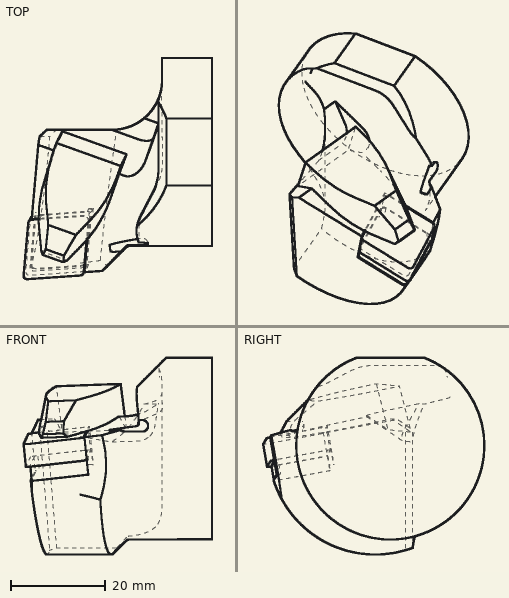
import cadquery as cq
import math

LARGE = 70.55

disc_radius = 20.0
disc_length = 17.95
flat_height = 18.65
flat_length = 9.7
bevel_reach = 8.45
wall_distance = 10.65

head_radius = 22.65
head_center_y = -3.2
head_center_z = -0.5
side_wall_y = 4.75
side_wall_radius = 10.5
corner_chamfer = 1.95
head_front_x = -36.75
head_lean = 0.082
neck_radius = 0.7
neck_overlap = 1.4

nose = (-40.1, -27.1, 0.2)
insert_width = 12.7
insert_angle = 80.0
insert_turn = 4.0
insert_thickness = 4.95
insert_corner = 0.8
insert_overhang = 0.65
shim_thickness = 3.2
shim_setback = 0.85
pocket_clearance = 0.2
insert_side = insert_width / math.sin(math.radians(insert_angle))

seat_slope_x = 0.1
seat_slope_y = 0.175
seat = cq.Plane(origin=nose, xDir=(1, 0, seat_slope_x), normal=(-seat_slope_x, -seat_slope_y, 1))

recess_back = 30.3
recess_side = 24.93
recess_bend_top = 22.95
recess_bend_bottom = 12.95
recess_blend = 10.8
floor_radius = 0.7
runout_radius = 1.245
runout_start = cq.Vector(-21.65, -20.6, 4.2)
runout_end = cq.Vector(-14.8, -19.55, 3.95)

clamp_turn = -20.0
groove_start = (3.75, 29.0, 0)
groove_depth = 6.75
groove_width = 7.1
groove_far_edge = 13.15
groove_end = 22.57
groove_end_radius = 3.2
groove_lead = 9.4
clamp_height = 6.5
clamp_center = 10.95
clamp_width = 14.55
tail_top = 3.0
tail_bottom = 3.8
tail_drop = 4.45
nose_top = -14.3
nose_step = (-20.1, 3.15)
nose_tip = (-21.9, 0.85)
nose_foot = -21.45
facet_slope = 2.2
facet_start = -11.85
facet_draft = 23.0
facet_blend = 14.1

clamp_plane = cq.Plane(seat.toWorldCoords(groove_start), seat.xDir, seat.zDir).rotated((0, 0, clamp_turn))
clamp_side = cq.Plane(clamp_plane.origin, clamp_plane.yDir, clamp_plane.xDir)


def rhombus(inset, length):
    """Corners of the insert shape, its two exposed sides moved inwards by inset."""
    lower = math.radians(insert_turn)
    upper = math.radians(insert_turn + insert_angle)
    along = (math.cos(lower), math.sin(lower))
    across = (math.cos(upper), math.sin(upper))
    step = inset / math.sin(math.radians(insert_angle))

    def corner(a, b):
        return (a * along[0] + b * across[0], a * along[1] + b * across[1])

    return [corner(step, step), corner(length, step), corner(length, length), corner(step, length)]


def on_seat(offset=0.0):
    return cq.Workplane(seat).workplane(offset=offset)


def make_insert():
    body = on_seat().polyline(rhombus(0, insert_side)).close().extrude(-insert_thickness)
    edges = body.edges(cq.selectors.ParallelDirSelector(seat.zDir))
    return edges.fillet(insert_corner)


def make_shim():
    shim_side = insert_side + pocket_clearance
    body = (
        on_seat(-insert_thickness)
        .polyline(rhombus(shim_setback, shim_side))
        .close()
        .extrude(-shim_thickness)
    )
    return body.edges(cq.selectors.ParallelDirSelector(seat.zDir)).fillet(insert_corner)


def make_blank():
    """Disc plus eccentric head; a cone on the disc axis bevels the head's rear."""
    disc = cq.Workplane("YZ").circle(disc_radius + neck_radius).extrude(-disc_length)
    head = (
        cq.Workplane("YZ", origin=(neck_overlap - disc_length, 0, 0))
        .center(head_center_y, head_center_z)
        .circle(head_radius)
        .extrude(-LARGE)
    )
    flanks = on_seat(LARGE).polyline(rhombus(insert_overhang, 2 * LARGE)).close().extrude(-2 * LARGE)
    nose_edge = cq.selectors.NearestToPointSelector(nose)
    flanks = flanks.edges(nose_edge).fillet(insert_corner)
    turned = (
        cq.Workplane("XY")
        .polyline([
            (0, 0),
            (0, disc_radius),
            (-disc_length, disc_radius),
            (-disc_length - LARGE, disc_radius + LARGE),
            (-disc_length - LARGE, 0),
        ])
        .close()
        .revolve(360, (0, 0, 0), (1, 0, 0))
    )
    neck = cq.selectors.BoxSelector(
        (-disc_length - neck_radius, -LARGE, -LARGE),
        (-disc_length + neck_radius, LARGE, LARGE),
    )
    turned = turned.edges(neck).fillet(neck_radius)
    return disc.union(head.intersect(flanks)).intersect(turned)


def disc_bevel():
    """Flat on top of the disc and the 45 degree bevel in front of it."""
    return (
        cq.Workplane("XZ")
        .polyline([
            (0, flat_height),
            (-flat_length, flat_height),
            (-flat_length - bevel_reach, flat_height - bevel_reach),
            (-flat_length - bevel_reach, LARGE),
            (0, LARGE),
        ])
        .close()
        .extrude(LARGE, both=True)
    )


def side_clearance():
    """Space beside the head, with the concave sweep into the disc front."""
    r = side_wall_radius
    center = (-wall_distance - r, side_wall_y + r)
    diagonal = r * math.sqrt(0.5)
    return (
        cq.Workplane("XY")
        .moveTo(-LARGE, side_wall_y)
        .lineTo(center[0], side_wall_y)
        .threePointArc((center[0] + diagonal, center[1] - diagonal), (-wall_distance, center[1]))
        .lineTo(-wall_distance, LARGE)
        .lineTo(-LARGE, LARGE)
        .close()
        .extrude(LARGE, both=True)
    )


def corner_cut():
    """45 degree chamfer on the upright corner of the head front and side wall."""
    leaning = cq.Plane(
        origin=(head_front_x, side_wall_y - corner_chamfer, 0),
        xDir=(1, 0, head_lean),
        normal=(-head_lean, 0, 1),
    )
    return (
        cq.Workplane(leaning)
        .polyline([(-LARGE, -LARGE), (LARGE, LARGE), (-LARGE, LARGE)])
        .close()
        .extrude(LARGE, both=True)
    )


def seat_recess():
    """Everything above the seat plane in front of the bent disc wall."""
    body = (
        on_seat()
        .polyline([
            (-LARGE, -LARGE),
            (recess_side, -LARGE),
            (recess_side, recess_bend_bottom),
            (recess_back, recess_bend_top),
            (recess_back, LARGE),
            (-LARGE, LARGE),
        ])
        .close()
        .extrude(LARGE)
    )
    for bend in [(recess_side, recess_bend_bottom), (recess_back, recess_bend_top)]:
        middle = seat.toWorldCoords((bend[0], bend[1], LARGE / 2))
        body = body.edges(cq.selectors.NearestToPointSelector(middle)).fillet(recess_blend)
    floor_edge = seat.toWorldCoords((recess_back, recess_bend_top + LARGE / 2, 0))
    return body.edges(cq.selectors.NearestToPointSelector(floor_edge)).fillet(floor_radius)


def cutter_runout():
    """Round-ended groove where the recess floor meets the disc surface."""
    path = runout_end - runout_start
    axis_plane = cq.Plane(runout_start, path, (0, 0, 1))
    diagonal = runout_radius * math.sqrt(0.5)
    return (
        cq.Workplane(axis_plane)
        .lineTo(0, runout_radius)
        .lineTo(path.Length, runout_radius)
        .threePointArc((path.Length + diagonal, diagonal), (path.Length + runout_radius, 0))
        .close()
        .revolve(360, (0, 0, 0), (1, 0, 0))
    )


def clamp_groove():
    """V groove for the clamp tail, rounded where its ramp ends."""
    body = (
        cq.Workplane(clamp_side)
        .workplane(offset=-groove_lead)
        .polyline([(0, 0), (groove_width, -groove_depth), (groove_far_edge, 0)])
        .close()
        .extrude(groove_end + groove_lead)
    )
    ramp_end = clamp_plane.toWorldCoords((groove_end, groove_width / 2, -groove_depth / 2))
    return body.edges(cq.selectors.NearestToPointSelector(ramp_end)).fillet(groove_end_radius)


def make_clamp():
    ramp_contact = -tail_bottom * groove_depth / groove_width
    bar = (
        cq.Workplane(clamp_side)
        .workplane(offset=clamp_center - clamp_width / 2)
        .polyline([
            (0, 0),
            (tail_bottom, ramp_contact),
            (tail_top, clamp_height),
            (nose_top, clamp_height),
            nose_step,
            nose_tip,
            (nose_foot, 0),
        ])
        .close()
        .extrude(clamp_width)
    )
    margin = clamp_width
    half = clamp_width / 2
    slant = math.hypot(1, facet_slope)
    base = facet_start - tail_drop * math.tan(math.radians(facet_draft)) * slant
    tip = base - half * facet_slope
    shoulder = base + (margin - half) * facet_slope
    outline = (
        cq.Workplane(clamp_plane)
        .workplane(offset=-tail_drop)
        .center(clamp_center, 0)
        .polyline([(0, tip), (margin, shoulder), (margin, margin), (-margin, margin), (-margin, shoulder)])
        .close()
        .extrude(clamp_height + tail_drop, taper=facet_draft)
    )
    clamp = bar.intersect(outline)
    for side in (-half, half):
        bend_middle = clamp_plane.toWorldCoords((clamp_center + side, facet_start, clamp_height / 2))
        clamp = clamp.edges(cq.selectors.NearestToPointSelector(bend_middle)).fillet(facet_blend)
    return clamp


def make_holder():
    pocket_depth = insert_thickness + shim_thickness
    pocket_side = insert_side + pocket_clearance
    insert_pocket = on_seat().polyline(rhombus(-LARGE, pocket_side)).close().extrude(-pocket_depth)
    return (
        make_blank()
        .cut(disc_bevel())
        .cut(side_clearance())
        .cut(corner_cut())
        .cut(seat_recess())
        .cut(cutter_runout())
        .cut(clamp_groove())
        .cut(insert_pocket)
        .union(make_shim())
        .union(make_clamp())
    )


holder = make_holder()
insert = make_insert()
result = cq.Compound.makeCompound([*holder.vals(), insert.val()])